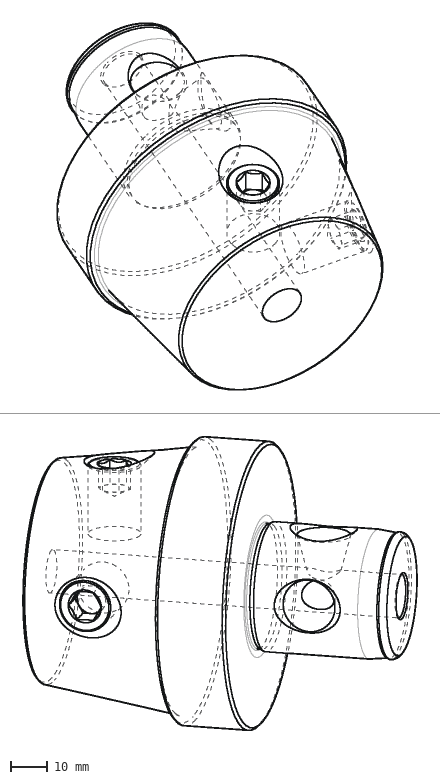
import cadquery as cq
import math

total_length = 100.0
shank_length = 40.0
flange_end = 60.0

shank_radius = 18.0
nose_radius = 17.7
nose_face_radius = 16.5
nose_end = 2.0
lead_in_start = 2.6
lead_in_radius = 17.4
lead_in_end = 8.0

relief_start = 37.6
relief_slope_end = 38.8
relief_radius = 17.4
relief_arc = 0.4
relief_face_depth = 0.2
relief_face_radius = 19.7

flange_radius = 40.0
flange_chamfer = 0.8

head_root_radius = 37.3
head_end_radius = 31.3
head_root_fillet = 0.7
head_end_chamfer = 0.7

bore_radius = 6.0
bore_chamfer = 0.5

seat_x = 22.3
seat_mouth_radius = 7.4
seat_mouth_height = 16.0
seat_half_angle = 15.0
seat_chamfer = 3.0

screw_x = 82.0
screw_radius = 7.3
screw_top = 32.1
screw_length = 20.0
screw_chamfer = 0.4
screw_countersink = 6.0
screw_seat_height = screw_top - screw_chamfer
socket_across_flats = 8.0
socket_depth = 7.0
socket_mouth_radius = 4.7
drill_point_half_angle = 60.0

radial_angles = (0.0, -90.0)


def turned_about_z(profile):
    """Solid of revolution about Z from (radius, height) points."""
    outline = cq.Workplane("XZ").polyline(profile).close()
    return outline.revolve(360, (0, 0, 0), (0, 1, 0))


def place_radially(shape, x, angle):
    """Move a shape built along +Z to a station on the X axis and turn it about that axis."""
    return shape.translate((x, 0, 0)).rotate((0, 0, 0), (1, 0, 0), angle)


def turned_blank():
    taper = (head_root_radius - head_end_radius) / (total_length - flange_end)
    chamfer_start = total_length - head_end_chamfer
    chamfer_start_radius = head_end_radius + taper * head_end_chamfer
    nose_rise = nose_radius - nose_face_radius
    nose_arc = (nose_end**2 + nose_rise**2) / (2 * nose_rise)
    relief_arc_start = shank_length + relief_face_depth - relief_arc
    arc_middle = relief_arc * math.sqrt(0.5)
    head_start = flange_end + head_root_fillet

    profile = (
        cq.Workplane("XY")
        .moveTo(0, 0)
        .lineTo(0, nose_face_radius)
        .radiusArc((nose_end, nose_radius), nose_arc)
        .lineTo(lead_in_start, lead_in_radius)
        .lineTo(lead_in_end, shank_radius)
        .lineTo(relief_start, shank_radius)
        .lineTo(relief_slope_end, relief_radius)
        .lineTo(relief_arc_start, relief_radius)
        .threePointArc(
            (relief_arc_start + arc_middle, relief_radius + relief_arc - arc_middle),
            (relief_arc_start + relief_arc, relief_radius + relief_arc),
        )
        .lineTo(shank_length, relief_face_radius)
        .lineTo(shank_length, flange_radius - flange_chamfer)
        .lineTo(shank_length + flange_chamfer, flange_radius)
        .lineTo(flange_end - flange_chamfer, flange_radius)
        .lineTo(flange_end, flange_radius - flange_chamfer)
        .lineTo(flange_end, head_root_radius + head_root_fillet)
        .radiusArc((head_start, head_root_radius - taper * head_root_fillet), -head_root_fillet)
        .lineTo(chamfer_start, chamfer_start_radius)
        .lineTo(total_length, chamfer_start_radius - head_end_chamfer)
        .lineTo(total_length, 0)
        .close()
    )
    return profile.revolve(360, (0, 0, 0), (1, 0, 0))


def bore():
    hole = cq.Workplane("YZ").circle(bore_radius).extrude(total_length)
    mouth_radius = bore_radius + bore_chamfer
    mouth = cq.Solid.makeCone(mouth_radius, bore_radius, bore_chamfer, dir=cq.Vector(1, 0, 0))
    return hole.union(cq.Workplane(mouth))


def conical_seat():
    tip_radius = seat_mouth_radius - seat_mouth_height * math.tan(math.radians(seat_half_angle))
    return turned_about_z([
        (0, 0),
        (tip_radius, 0),
        (seat_mouth_radius, seat_mouth_height),
        (seat_mouth_radius + seat_chamfer, seat_mouth_height + seat_chamfer),
        (0, seat_mouth_height + seat_chamfer),
    ])


def screw_hole():
    """Blind hole that fits the screw, with a 45 degree countersink up to the head surface."""
    return turned_about_z([
        (0, screw_top - screw_length),
        (screw_radius, screw_top - screw_length),
        (screw_radius, screw_seat_height),
        (screw_radius + screw_countersink, screw_seat_height + screw_countersink),
        (0, screw_seat_height + screw_countersink),
    ])


def make_holder():
    body = turned_blank().cut(bore())
    for angle in radial_angles:
        body = body.cut(place_radially(conical_seat(), seat_x, angle))
        body = body.cut(place_radially(screw_hole(), screw_x, angle))
    return body


def hex_socket():
    """Hexagon socket with corners along X, a countersunk mouth and a drill-point bottom."""
    flat_radius = socket_across_flats / 2
    corner_diameter = socket_across_flats / math.cos(math.radians(30))
    floor = screw_top - socket_depth
    point_depth = flat_radius / math.tan(math.radians(drill_point_half_angle))
    hexagon = (
        cq.Workplane("XY")
        .workplane(offset=floor)
        .polygon(6, corner_diameter)
        .extrude(socket_depth)
    )
    drill_point = turned_about_z([(0, floor), (flat_radius, floor), (0, floor - point_depth)])
    mouth = turned_about_z([
        (0, screw_top),
        (socket_mouth_radius, screw_top),
        (0, screw_top - socket_mouth_radius),
    ])
    return hexagon.union(drill_point).union(mouth)


def make_screw(angle):
    shaft = (
        cq.Workplane("XY")
        .workplane(offset=screw_top - screw_length)
        .circle(screw_radius)
        .extrude(screw_length)
        .faces(">Z")
        .chamfer(screw_chamfer)
    )
    return place_radially(shaft.cut(hex_socket()), screw_x, angle)


holder = make_holder()
screws = [make_screw(angle) for angle in radial_angles]

result = cq.Compound.makeCompound([holder.val(), *[screw.val() for screw in screws]])